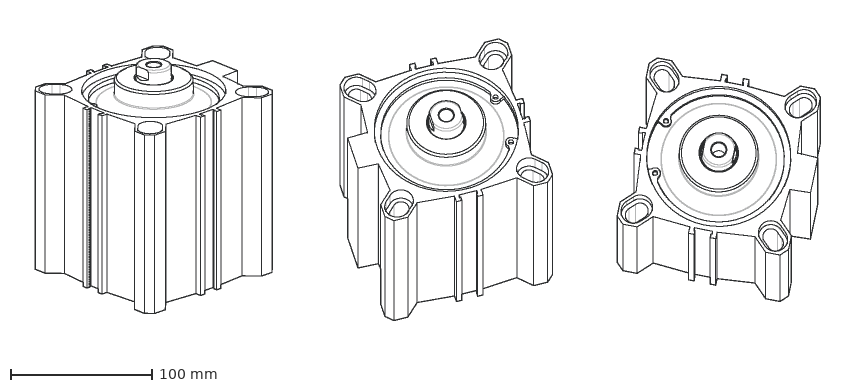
import cadquery as cq
import math

rod_top = 156.5
collar_top = 146.5
housing_top = 136.5
clip_top = 131.0
clip_thickness = 3.5
cover_top = clip_top - clip_thickness
cone_top = 134.0
cover_thickness = 15.6
cover_bottom = cover_top - cover_thickness

lug_reach = 62.0
lug_chamfer = 5.2
lug_flat_end = 46.5
lug_root_along = 36.8
lug_root_across = lug_reach - (lug_flat_end - lug_root_along)
side_reach = 54.5

rail_outer = 9.9
rail_stem_inner = 6.5
rail_lip_inner = 5.8
rail_lip_start = 56.5
rail_reach = 59.3

block_root_half_width = 13.6
block_end_half_width = 13.0
block_reach = 69.0

slot_centre = 49.3
slot_end_shift = 2.0
slot_length_between_arcs = 2 * math.sqrt(2) * slot_end_shift
slot_width = 11.5
counterbore_width = 17.5
counterbore_depth = 11.3

bore_diameter = 102.2
groove_diameter = 106.3

clip_inner_diameter = 93.0
eye_x = 19.4
eye_y = -42.1
eye_radius = 3.8
eye_hole_diameter = 3.5
eye_shoulder_x = 25.5
eye_shoulder_y = -39.5
gap_half_width_at_eye = eye_x - eye_radius
gap_half_width_at_rim = 20.3

cone_base_radius = 40.8
collar_radius = 28.0
collar_chamfer = 1.5
hub_fillet = 1.0
wiper_recess_diameter = 26.9
wiper_mouth_diameter = 28.0
wiper_recess_depth = 3.1

rod_radius = 12.5
rod_fillet = 1.4
flat_offset = 11.0
flat_depth_below_top = 7.0
thread_diameter = 10.2
thread_mouth_diameter = 11.5
thread_depth = 23.5
drill_tip_angle = 118.0


def disc(diameter, bottom, top):
    return cq.Workplane("XY").workplane(offset=bottom).circle(diameter / 2).extrude(top - bottom)


def housing_core():
    """Square body with four chamfered corner lugs and sides that bulge to a flat middle."""
    quarter = [
        (rail_outer, -side_reach),
        (lug_root_along, -lug_root_across),
        (lug_flat_end, -lug_reach),
        (lug_reach - lug_chamfer, -lug_reach),
        (lug_reach, -lug_reach + lug_chamfer),
        (lug_reach, -lug_flat_end),
        (lug_root_across, -lug_root_along),
        (side_reach, -rail_outer),
    ]
    outline = []
    for _ in range(4):
        outline += quarter
        quarter = [(-y, x) for x, y in quarter]
    return cq.Workplane("XY").polyline(outline).close().extrude(housing_top)


def sensor_rails():
    """Pair of hooked rails on the -Y side, lips facing each other."""
    rail = (
        cq.Workplane("XY")
        .moveTo(rail_outer, -lug_root_across)
        .lineTo(rail_outer, -rail_reach)
        .lineTo(rail_lip_inner, -rail_reach)
        .lineTo(rail_lip_inner, -rail_lip_start)
        .lineTo(rail_stem_inner, -rail_lip_start)
        .lineTo(rail_stem_inner, -lug_root_across)
        .close()
        .extrude(housing_top)
    )
    return rail.union(rail.mirror("YZ"))


def port_block():
    return (
        cq.Workplane("XY")
        .polyline([
            (-block_root_half_width, lug_root_across),
            (block_root_half_width, lug_root_across),
            (block_root_half_width, side_reach),
            (block_end_half_width, block_reach),
            (-block_end_half_width, block_reach),
            (-block_root_half_width, side_reach),
        ])
        .close()
        .extrude(housing_top)
    )


def mounting_slot(width, bottom):
    """Diagonal slot in the +X +Y corner, from the given height up to the housing top."""
    return (
        cq.Workplane("XY")
        .workplane(offset=bottom)
        .center(slot_centre, slot_centre)
        .slot2D(slot_length_between_arcs + width, width, 45)
        .extrude(housing_top - bottom)
    )


def make_housing():
    body = housing_core().union(port_block())
    for angle in (-90, 0, 90):
        body = body.union(sensor_rails().rotate((0, 0, 0), (0, 0, 1), angle))
    slot = mounting_slot(slot_width, 0).union(
        mounting_slot(counterbore_width, housing_top - counterbore_depth)
    )
    for corner in range(4):
        body = body.cut(slot.rotate((0, 0, 0), (0, 0, 1), 90 * corner))
    body = body.cut(disc(bore_diameter, cover_bottom, housing_top))
    return body.cut(disc(groove_diameter, cover_top, clip_top))


def make_clip():
    """Internal retaining ring: open at -Y, with a plier eye at each end."""
    clip_plane = cq.Workplane("XY").workplane(offset=cover_top)
    clip = disc(groove_diameter, cover_top, clip_top).cut(
        disc(clip_inner_diameter, cover_top, clip_top)
    )
    gap = (
        clip_plane
        .polyline([
            (-gap_half_width_at_eye, eye_y),
            (gap_half_width_at_eye, eye_y),
            (gap_half_width_at_rim, -groove_diameter / 2),
            (-gap_half_width_at_rim, -groove_diameter / 2),
        ])
        .close()
        .extrude(clip_thickness)
    )
    clip = clip.cut(gap)
    for side in (-1, 1):
        eye = clip_plane.center(side * eye_x, eye_y)
        shoulder = (
            clip_plane
            .polyline([
                (side * eye_x, eye_shoulder_y),
                (side * eye_shoulder_x, eye_shoulder_y),
                (side * eye_shoulder_x, eye_y - eye_radius),
                (side * eye_x, eye_y - eye_radius),
            ])
            .close()
            .extrude(clip_thickness)
        )
        clip = clip.union(eye.circle(eye_radius).extrude(clip_thickness)).union(shoulder)
        clip = clip.cut(eye.circle(eye_hole_diameter / 2).extrude(clip_thickness))
    return clip


def cover_profile():
    """Half section of the head cover, with X as the radius and Y as the height."""
    recess_radius = wiper_recess_diameter / 2
    mouth_radius = wiper_mouth_diameter / 2
    mouth_chamfer = mouth_radius - recess_radius
    recess_floor = collar_top - wiper_recess_depth
    return (
        cq.Workplane("XZ")
        .moveTo(rod_radius, cover_bottom)
        .lineTo(bore_diameter / 2, cover_bottom)
        .lineTo(bore_diameter / 2, cover_top)
        .lineTo(cone_base_radius, cover_top)
        .lineTo(collar_radius, cone_top)
        .lineTo(collar_radius, collar_top - collar_chamfer)
        .lineTo(collar_radius - collar_chamfer, collar_top)
        .lineTo(mouth_radius, collar_top)
        .lineTo(recess_radius, collar_top - mouth_chamfer)
        .lineTo(recess_radius, recess_floor)
        .lineTo(rod_radius, recess_floor)
        .close()
    )


def make_head_cover():
    """Disc with a conical hub and a collar, bored for the rod, with a wiper recess at the mouth."""
    cover = cover_profile().revolve(360, (0, 0, 0), (0, 1, 0))
    cone_circles = [(cone_base_radius, cover_top), (collar_radius, cone_top)]
    for radius, height in cone_circles:
        cone_end = cover.edges("%CIRCLE").filter(
            lambda edge: math.isclose(edge.radius(), radius) and math.isclose(edge.Center().z, height)
        )
        cover = cone_end.fillet(hub_fillet)
    return cover


def thread_hole():
    """Chamfered blind hole in the rod end, with a conical drill tip."""
    radius = thread_diameter / 2
    chamfer_radius = thread_mouth_diameter / 2
    bottom = rod_top - thread_depth
    tip_depth = radius / math.tan(math.radians(drill_tip_angle / 2))
    return (
        cq.Workplane("XZ")
        .moveTo(0, rod_top)
        .lineTo(chamfer_radius, rod_top)
        .lineTo(radius, rod_top - (chamfer_radius - radius))
        .lineTo(radius, bottom)
        .lineTo(0, bottom - tip_depth)
        .close()
        .revolve(360, (0, 0, 0), (0, 1, 0))
    )


def wrench_flat():
    """Cut for the -Y flat, its floor sloping down at 45 degrees to the rod's surface."""
    flat_bottom = rod_top - flat_depth_below_top
    slope = rod_radius - flat_offset
    return (
        cq.Workplane("YZ")
        .polyline([
            (-flat_offset, rod_top),
            (-flat_offset, flat_bottom),
            (-flat_offset - slope, flat_bottom - slope),
            (-flat_offset - slope, rod_top),
        ])
        .close()
        .extrude(rod_radius, both=True)
    )


def make_rod():
    rod = disc(2 * rod_radius, cover_bottom, rod_top).faces(">Z").edges().fillet(rod_fillet)
    flat = wrench_flat()
    return rod.cut(thread_hole()).cut(flat).cut(flat.mirror("XZ"))


housing = make_housing()
clip = make_clip()
head_cover = make_head_cover()
rod = make_rod()

result = cq.Compound.makeCompound([housing.val(), clip.val(), head_cover.val(), rod.val()])